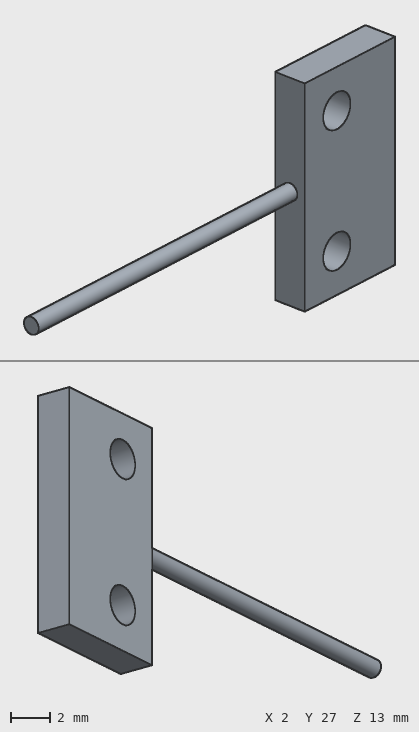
import cadquery as cq

total_length = 27.0
plate_thickness = 2.0
plate_depth = 7.0
plate_height = 13.0

hole_diameter = 2.1
hole_spacing = 8.0
hole_from_back = 4.5

rod_diameter = 1.0
rod_length = total_length - plate_depth


def make_plate():
    """Rectangular plate, back face at Y = 0, with two through holes."""
    plate = cq.Workplane("XY").box(
        plate_thickness, plate_depth, plate_height
    ).translate((0, -plate_depth / 2, 0))
    holes = (
        cq.Workplane("YZ", origin=(-plate_thickness / 2, 0, 0))
        .pushPoints([(-hole_from_back, side * hole_spacing / 2) for side in (-1, 1)])
        .circle(hole_diameter / 2)
        .extrude(plate_thickness)
    )
    return plate.cut(holes).solids()


def make_rod():
    """Plain cylinder running toward -Y from the plate's front face."""
    return (
        cq.Workplane("XZ", origin=(0, -plate_depth, 0))
        .circle(rod_diameter / 2)
        .extrude(rod_length)
    )


plate = make_plate()
rod = make_rod()

result = cq.Compound.makeCompound([plate.val(), rod.val()])